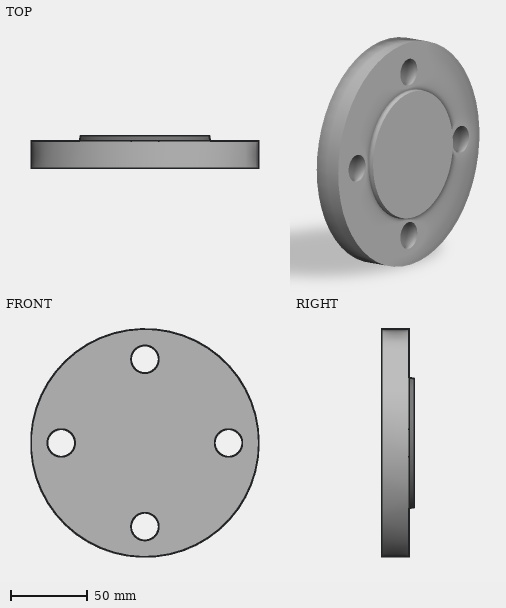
import cadquery as cq
import math

flange_diameter = 150.0
flange_thickness = 18.0

overall_thickness = 21.5
raised_face_base_diameter = 86.0
raised_face_draft_angle = 10.0
raised_face_height = overall_thickness - flange_thickness
raised_face_inset = raised_face_height * math.tan(math.radians(raised_face_draft_angle))

bolt_circle_diameter = 110.0
bolt_hole_diameter = 18.0
bolt_hole_count = 4


def make_flange_plate():
    """Round plate with its axis along Y, from Y = 0 to the flange thickness."""
    return cq.Workplane("XZ").circle(flange_diameter / 2).extrude(-flange_thickness)


def make_raised_face():
    """Shallow cone frustum standing on the +Y side of the plate."""
    base_radius = raised_face_base_diameter / 2
    top_radius = base_radius - raised_face_inset
    half_profile = (
        cq.Workplane("XY")
        .moveTo(0, flange_thickness)
        .lineTo(base_radius, flange_thickness)
        .lineTo(top_radius, overall_thickness)
        .lineTo(0, overall_thickness)
        .close()
    )
    return half_profile.revolve(360, (0, 0, 0), (0, 1, 0))


def make_bolt_holes():
    """Cylinders to be cut through the flange plate."""
    centres = cq.Workplane("XZ").polarArray(bolt_circle_diameter / 2, 0, 360, bolt_hole_count)
    return centres.circle(bolt_hole_diameter / 2).extrude(-flange_thickness)


result = make_flange_plate().union(make_raised_face()).cut(make_bolt_holes())